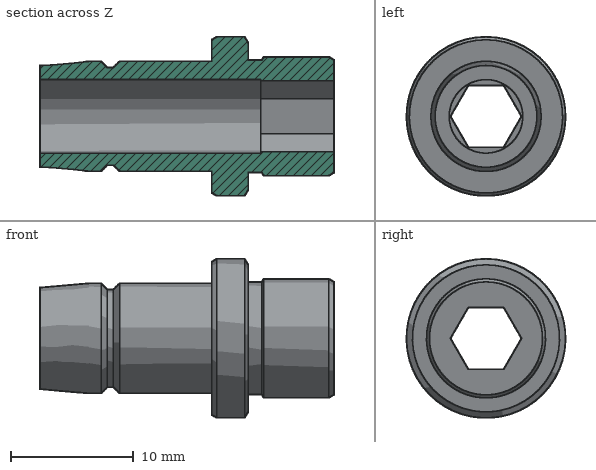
import cadquery as cq
import math

SHANK_RADIUS = 4.5
GROOVE_RADIUS = 4.0
FLANGE_RADIUS = 6.5
NECK_RADIUS = 4.6
HEAD_RADIUS = 4.86

NOSE_LENGTH = 4.0
GROOVE_START = 5.0
GROOVE_FLOOR_WIDTH = 0.5
FLANGE_START = 14.0
FLANGE_END = 17.0
HEAD_START = 18.1
LENGTH = 24.0

NOSE_TAPER_ANGLE = math.radians(5)
NOSE_END_RADIUS = SHANK_RADIUS - NOSE_LENGTH * math.tan(NOSE_TAPER_ANGLE)

CHAMFER_ANGLE = math.radians(30)
FLANGE_LEAD_DROP = 0.25
FLANGE_LEAD_LENGTH = FLANGE_LEAD_DROP / math.tan(CHAMFER_ANGLE)
FLANGE_BACK_DROP = 0.5
FLANGE_BACK_LENGTH = FLANGE_BACK_DROP * math.tan(CHAMFER_ANGLE)
HEAD_LEAD_LENGTH = (HEAD_RADIUS - NECK_RADIUS) * math.tan(CHAMFER_ANGLE)
HEAD_END_DROP = 0.25
HEAD_END_LENGTH = HEAD_END_DROP / math.tan(CHAMFER_ANGLE)

BORE_RADIUS = 3.0
HEX_ACROSS_FLATS = 5.0
HEX_HALF_SIDE_ANGLE = math.radians(30)
HEX_DEPTH = 6.0
HEX_START = LENGTH - HEX_DEPTH


def make_body():
    """Revolve the outer half profile, tapered nose included, about X."""
    groove_depth = SHANK_RADIUS - GROOVE_RADIUS
    groove_floor_start = GROOVE_START + groove_depth
    groove_floor_end = groove_floor_start + GROOVE_FLOOR_WIDTH
    groove_end = groove_floor_end + groove_depth

    profile = (
        cq.Workplane("XZ")
        .lineTo(0, NOSE_END_RADIUS)
        .lineTo(NOSE_LENGTH, SHANK_RADIUS)
        .lineTo(GROOVE_START, SHANK_RADIUS)
        .lineTo(groove_floor_start, GROOVE_RADIUS)
        .lineTo(groove_floor_end, GROOVE_RADIUS)
        .lineTo(groove_end, SHANK_RADIUS)
        .lineTo(FLANGE_START, SHANK_RADIUS)
        .lineTo(FLANGE_START, FLANGE_RADIUS - FLANGE_LEAD_DROP)
        .lineTo(FLANGE_START + FLANGE_LEAD_LENGTH, FLANGE_RADIUS)
        .lineTo(FLANGE_END - FLANGE_BACK_LENGTH, FLANGE_RADIUS)
        .lineTo(FLANGE_END, FLANGE_RADIUS - FLANGE_BACK_DROP)
        .lineTo(FLANGE_END, NECK_RADIUS)
        .lineTo(HEAD_START, NECK_RADIUS)
        .lineTo(HEAD_START + HEAD_LEAD_LENGTH, HEAD_RADIUS)
        .lineTo(LENGTH - HEAD_END_LENGTH, HEAD_RADIUS)
        .lineTo(LENGTH, HEAD_RADIUS - HEAD_END_DROP)
        .lineTo(LENGTH, 0)
        .close()
    )
    return profile.revolve(360, (0, 0, 0), (1, 0, 0))


def make_bore():
    """Round bore from the nose to the bottom of the hexagonal socket."""
    return cq.Workplane("YZ").circle(BORE_RADIUS).extrude(HEX_START)


def make_hex_socket():
    """Hexagon with corners on the Y axis, open at the head end."""
    across_corners = HEX_ACROSS_FLATS / math.cos(HEX_HALF_SIDE_ANGLE)
    return cq.Workplane("YZ", origin=(HEX_START, 0, 0)).polygon(6, across_corners).extrude(HEX_DEPTH)


result = make_body().cut(make_bore()).cut(make_hex_socket())